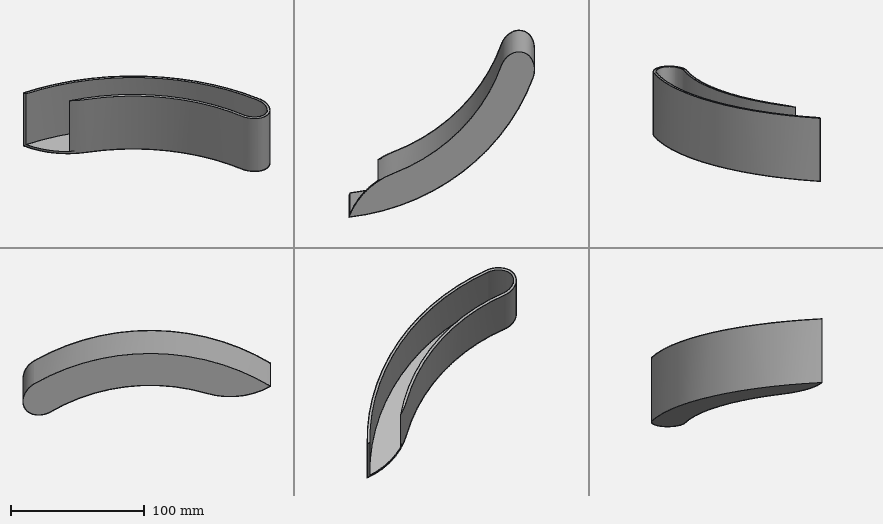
import cadquery as cq
import math

height = 49.0
wall = 2.0
floor = 2.0

outer_radius = 167.4
band_width = 25.5
rise = 80.8
inner_radius = outer_radius - band_width
centre_y = rise - outer_radius
centre_x = math.sqrt(outer_radius**2 - centre_y**2)

tip_joint_x = 45.4
end_joint_x = 157.4

end_upper_joint = (170.7, 72.5)
end_lower_joint = (168.8, 58.3)

pocket_outer_start_x = -17.3
pocket_inner_start_x = 13.8


def point_on_band(radius, x):
    """Point on the far (+Y) side of a circle about the band centre."""
    return (x, centre_y + math.sqrt(radius**2 - (x - centre_x) ** 2))


def midpoint_on_band(radius, x_start, x_end):
    return point_on_band(radius, (x_start + x_end) / 2)


def band_outline(outer_start_x, inner_start_x):
    """Open outline: along the convex side, round the end and back along the concave side."""
    return (
        cq.Workplane("XY")
        .moveTo(*point_on_band(outer_radius, outer_start_x))
        .threePointArc(
            midpoint_on_band(outer_radius, outer_start_x, end_joint_x),
            point_on_band(outer_radius, end_joint_x),
        )
        .tangentArcPoint(end_upper_joint, relative=False)
        .tangentArcPoint(end_lower_joint, relative=False)
        .tangentArcPoint(point_on_band(inner_radius, end_joint_x), relative=False)
        .threePointArc(
            midpoint_on_band(inner_radius, inner_start_x, end_joint_x),
            point_on_band(inner_radius, inner_start_x),
        )
    )


body = (
    band_outline(0, tip_joint_x)
    .tangentArcPoint((0, 0), relative=False)
    .close()
    .extrude(height)
)

pocket = (
    band_outline(pocket_outer_start_x, pocket_inner_start_x)
    .close()
    .offset2D(-wall)
    .extrude(height)
    .translate((0, 0, floor))
)

result = body.cut(pocket)